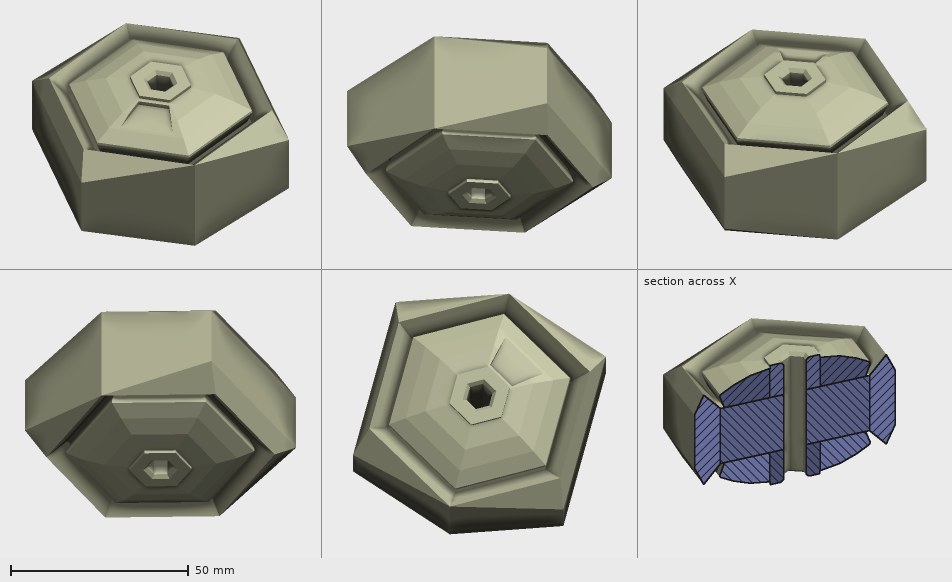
import cadquery as cq
import math

overall_height = 40.0
half_height = overall_height / 2

tyre_length = 64.5
tyre_width = 61.55
rim_radius = tyre_length / 2
rim_height = 15.0
tread_corner_x = 23.15
tread_corner_y = tyre_width / 2
tread_corner_height = 8.95

core_radius = 26.3
core_height = 9.3

cap_base_radius = 25.0
lip_radius = 26.65
dome_radius = 26.45
lip_height = 13.15
dome_base_height = 13.8
lower_dome_radius = 21.6
lower_dome_height = 16.1
upper_dome_radius = 15.8
upper_dome_height = 18.05
dome_top_height = 19.0

flat_inner_radius = 9.75
flat_inner_height = 17.6
flat_outer_radius = 20.8
flat_outer_height = 16.25
flat_inner_spread = 27.0
flat_outer_spread = 22.5
flat_direction = -30.0

bushing_radius = 8.8
bore_radius = 3.8
countersink_radius = 4.9
countersink_depth = 0.95


def polar_point(radius, angle, height):
    """Point at an angle in degrees around the Z axis."""
    turn = math.radians(angle)
    return cq.Vector(radius * math.cos(turn), radius * math.sin(turn), height)


def hexagon_points(radius, height):
    return [polar_point(radius, 60 * corner, height) for corner in range(6)]


def hexagon_stack(stations):
    """Solid with flat sides through hexagons given as (corner radius, height)."""
    wires = [cq.Wire.makePolygon(hexagon_points(*station), close=True) for station in stations]
    return cq.Workplane(cq.Solid.makeLoft(wires, True))


def flat_sided_solid(polygons):
    """Solid enclosed by flat faces, each given by its corner points."""
    faces = [cq.Face.makeFromWires(cq.Wire.makePolygon(corners, close=True)) for corners in polygons]
    return cq.Workplane(cq.Solid.makeSolid(cq.Shell.makeShell(faces)))


def tread_corner(side_x, side_y, side_z):
    return cq.Vector(side_x * tread_corner_x, side_y * tread_corner_y, side_z * tread_corner_height)


def make_tread_block():
    """Solid tyre shape: two rims, with four upright corner edges bulging between them."""
    sides = (1, -1)
    polygons = []
    for side_z in sides:
        rim = hexagon_points(rim_radius, side_z * rim_height)
        rim_tip = {1: rim[0], -1: rim[3]}
        rim_corner = {(1, 1): rim[1], (-1, 1): rim[2], (-1, -1): rim[4], (1, -1): rim[5]}
        polygons.append(rim)
        for side_y in sides:
            polygons.append([
                rim_corner[(-1, side_y)],
                rim_corner[(1, side_y)],
                tread_corner(1, side_y, side_z),
                tread_corner(-1, side_y, side_z),
            ])
            for side_x in sides:
                polygons.append([
                    rim_tip[side_x],
                    rim_corner[(side_x, side_y)],
                    tread_corner(side_x, side_y, side_z),
                ])
    for side_y in sides:
        polygons.append([
            tread_corner(-1, side_y, 1),
            tread_corner(1, side_y, 1),
            tread_corner(1, side_y, -1),
            tread_corner(-1, side_y, -1),
        ])
        for side_x in sides:
            polygons.append([
                cq.Vector(side_x * rim_radius, 0, rim_height),
                tread_corner(side_x, side_y, 1),
                tread_corner(side_x, side_y, -1),
                cq.Vector(side_x * rim_radius, 0, -rim_height),
            ])
    return flat_sided_solid(polygons)


def make_tyre():
    """Tyre with a bore for the core and a tapered recess at each end."""
    tyre = make_tread_block()
    opening = hexagon_stack([
        (rim_radius, -rim_height),
        (core_radius, -core_height),
        (core_radius, core_height),
        (rim_radius, rim_height),
    ])
    return tyre.cut(opening)


def make_core():
    core = hexagon_stack([(core_radius, -core_height), (core_radius, core_height)])
    bore = hexagon_stack([(bore_radius, -core_height), (bore_radius, core_height)])
    return core.cut(bore)


def make_cap():
    """Upper domed cap that widens upward to a lip and a hole for the bushing."""
    cap = hexagon_stack([
        (cap_base_radius, core_height),
        (lip_radius, lip_height),
        (dome_radius, dome_base_height),
        (lower_dome_radius, lower_dome_height),
        (upper_dome_radius, upper_dome_height),
        (bushing_radius, dome_top_height),
    ])
    hole = hexagon_stack([(bushing_radius, core_height), (bushing_radius, dome_top_height)])
    return cap.cut(hole)


def make_dome_flat():
    """Cutter whose sloping underside forms the flat on the upper dome."""
    floor_corners = [
        polar_point(flat_inner_radius, flat_direction + flat_inner_spread, flat_inner_height),
        polar_point(flat_outer_radius, flat_direction + flat_outer_spread, flat_outer_height),
        polar_point(flat_outer_radius, flat_direction - flat_outer_spread, flat_outer_height),
        polar_point(flat_inner_radius, flat_direction - flat_inner_spread, flat_inner_height),
    ]
    floor = cq.Face.makeFromWires(cq.Wire.makePolygon(floor_corners, close=True))
    return cq.Workplane(cq.Solid.extrudeLinear(floor, cq.Vector(0, 0, half_height - flat_outer_height)))


def make_bushing():
    """Upper bushing standing on the core, with a countersunk hexagonal bore."""
    bushing = hexagon_stack([(bushing_radius, core_height), (bushing_radius, half_height)])
    bore = hexagon_stack([
        (bore_radius, core_height),
        (bore_radius, half_height - countersink_depth),
        (countersink_radius, half_height),
    ])
    return bushing.cut(bore)


tyre = make_tyre()
core = make_core()

caps = []
bushings = []
for end in ("upper", "lower"):
    cap = make_cap()
    bushing = make_bushing()
    if end == "upper":
        cap = cap.cut(make_dome_flat())
    else:
        cap = cap.mirror("XY")
        bushing = bushing.mirror("XY")
    caps.append(cap.val())
    bushings.append(bushing.val())

result = cq.Compound.makeCompound([tyre.val(), core.val(), *caps, *bushings])